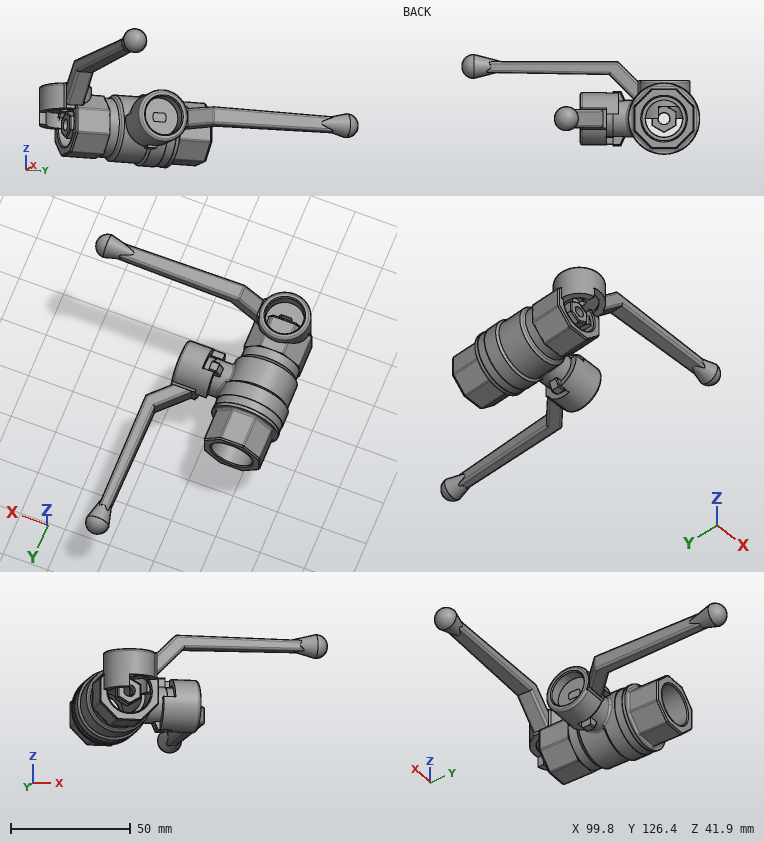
import cadquery as cq
import math


HALF_LENGTH = 30.6
PIPE_DIAMETER = 25.0
FLANGE_DIAMETER = 30.0
BAND_DIAMETER = 29.5
BARREL_DIAMETER = 28.0
FLANGE_BACK = 15.3
BAND_BACK = 13.8
BAND_FRONT = 10.0
SHOULDER_BACK = 3.4
SHOULDER_FRONT = 2.4
TAPER_BACK = -9.5
TAPER_MIDDLE = -10.5
TAPER_FRONT = -11.3
TAPER_MIDDLE_RADIUS = 13.2
OCTAGON_FRONT = -15.4
EDGE_RADIUS = 1.0
END_CHAMFER = 0.4
END_BEVEL_LENGTH = 0.8
BORE_DIAMETER = 15.5
SOCKET_DIAMETER = 18.6
SOCKET_DEPTH = 12.0
SOCKET_CHAMFER = 0.5
SELECT_MARGIN = 0.4
OCTAGON_SIDES = 8

NECK_DIAMETER = 15.5
NECK_END = 21.4
TAB_HALF_WIDTH = 2.3
TAB_REACH = 11.4
TAB_FOOT = 16.5
TAB_TOP_START = 18.1
TAB_EDGE = 0.5
TAB_EMBED = 1.3

CUP_DIAMETER = 22.0
CUP_HEIGHT = 16.0
CUP_BORE = 16.5
CAVITY_DEPTH = 6.3
WEB_TOP = 11.0
RECESS_CHAMFER = 0.5
NOTCH_HEIGHT = 5.0
NOTCH_STOP_X = TAB_HALF_WIDTH
NOTCH_STOP_Y = 1.9
ARM_ROOT = 9.6
ARM_TIP = 75.9
ARM_OFFSET = 4.5
ARM_TOP = 23.9
ARM_KNEE = 18.5
ARM_TIP_BOTTOM = 19.3
ARM_ROOT_HALF_WIDTH = 3.9
ARM_TIP_HALF_WIDTH = 3.2
ROOT_REACH = 11.0
ROOT_TOP = 15.8
ROOT_HALF_WIDTH = 4.8
KNOB_RADIUS = 5.0
KNOB_X = 79.8
KNOB_Z = 21.9
KNOB_START = 67.0
KNOB_START_RADIUS = 1.8

STEM_HEAD_DIAMETER = 15.0
STEM_DIAMETER = 6.0
STEM_FLATS = 3.8
NUT_SIDES = 6
NUT_FLATS = 10.0
NUT_HEIGHT = 5.0
NUT_HOLE = 4.9
NUT_CHAMFER = 0.5

MOUNTED_CUP_X = 19.1
LOOSE_CUP_Y = -HALF_LENGTH


def octagon(length):
    """Octagonal prism from Y = 0 to its bevelled end at Y = length, with flats facing X and Z."""
    corner_diameter = PIPE_DIAMETER / math.cos(math.pi / OCTAGON_SIDES)
    return (
        cq.Workplane("XZ")
        .transformed(rotate=(0, 0, 180 / OCTAGON_SIDES))
        .polygon(OCTAGON_SIDES, corner_diameter)
        .extrude(-length)
        .edges("|Y")
        .fillet(EDGE_RADIUS)
        .faces(">Y")
        .chamfer(END_BEVEL_LENGTH, END_CHAMFER)
    )


def barrel():
    """Turned middle of the valve, from the back flange to the front octagon."""
    flange = FLANGE_DIAMETER / 2
    band = BAND_DIAMETER / 2
    middle = BARREL_DIAMETER / 2
    pipe = PIPE_DIAMETER / 2
    profile = [
        (0, FLANGE_BACK),
        (flange, FLANGE_BACK),
        (flange, BAND_BACK),
        (band, BAND_BACK),
        (band, BAND_FRONT),
        (flange, BAND_FRONT),
        (flange, SHOULDER_BACK),
        (middle, SHOULDER_FRONT),
        (middle, TAPER_BACK),
        (TAPER_MIDDLE_RADIUS, TAPER_MIDDLE),
        (pipe, TAPER_FRONT),
        (pipe, OCTAGON_FRONT),
        (0, OCTAGON_FRONT),
    ]
    return cq.Workplane("XY").polyline(profile).close().revolve(360, (0, 0, 0), (0, 1, 0))


def stop_tabs():
    """Two opposite tabs on the neck, each with a sloped back face."""
    base = NECK_DIAMETER / 2 - TAB_EMBED
    slope = (TAB_TOP_START - TAB_FOOT) / (TAB_REACH - NECK_DIAMETER / 2)
    tab = (
        cq.Workplane("XZ", origin=(0, TAB_HALF_WIDTH, 0))
        .moveTo(TAB_FOOT - slope * TAB_EMBED, base)
        .lineTo(TAB_TOP_START, TAB_REACH)
        .lineTo(NECK_END, TAB_REACH)
        .lineTo(NECK_END, base)
        .close()
        .extrude(2 * TAB_HALF_WIDTH)
        .faces("<Y or >Y")
        .edges("<X or >Z")
        .chamfer(TAB_EDGE)
    )
    return tab.union(tab.mirror("XY"))


def through_bore():
    return cq.Workplane("XZ").circle(BORE_DIAMETER / 2).extrude(HALF_LENGTH, both=True)


def socket():
    """Wider bore at the back end with a bevelled mouth."""
    radius = SOCKET_DIAMETER / 2
    return (
        cq.Workplane("XY")
        .moveTo(0, HALF_LENGTH)
        .lineTo(radius + SOCKET_CHAMFER, HALF_LENGTH)
        .lineTo(radius, HALF_LENGTH - SOCKET_CHAMFER)
        .lineTo(radius, HALF_LENGTH - SOCKET_DEPTH)
        .lineTo(0, HALF_LENGTH - SOCKET_DEPTH)
        .close()
        .revolve(360, (0, 0, 0), (0, 1, 0))
    )


def make_valve():
    neck = cq.Workplane("YZ").circle(NECK_DIAMETER / 2).extrude(NECK_END)
    neck_reach = NECK_DIAMETER / 2 + SELECT_MARGIN
    neck_foot = cq.selectors.BoxSelector(
        (SELECT_MARGIN, -neck_reach, -neck_reach),
        (FLANGE_DIAMETER / 2 + SELECT_MARGIN, neck_reach, neck_reach),
        boundingbox=True,
    )
    valve = barrel().union(neck).edges(neck_foot).fillet(EDGE_RADIUS)

    octagon_reach = PIPE_DIAMETER / 2 + SELECT_MARGIN
    octagon_foot = cq.selectors.BoxSelector(
        (-octagon_reach, FLANGE_BACK - SELECT_MARGIN, -octagon_reach),
        (octagon_reach, FLANGE_BACK + SELECT_MARGIN, octagon_reach),
        boundingbox=True,
    )
    valve = valve.union(octagon(HALF_LENGTH)).edges(octagon_foot).fillet(EDGE_RADIUS)

    front_octagon = octagon(HALF_LENGTH + OCTAGON_FRONT).mirror("XZ").translate((0, OCTAGON_FRONT, 0))
    valve = valve.union(front_octagon).union(stop_tabs())
    return valve.cut(through_bore()).cut(socket()).cut(socket().mirror("XZ"))


def flatted_shank(start, end):
    """Round bar along Z with two flats facing Y."""
    bar = cq.Workplane("XY", origin=(0, 0, start)).circle(STEM_DIAMETER / 2).extrude(end - start)
    slab = cq.Workplane("XY").box(2 * STEM_DIAMETER, STEM_FLATS, 2 * CUP_HEIGHT)
    return bar.intersect(slab)


def cup():
    blank = (
        cq.Workplane("XY").circle(CUP_DIAMETER / 2).extrude(CUP_HEIGHT)
        .faces(">Z").edges().fillet(EDGE_RADIUS)
    )
    cavity = cq.Workplane("XY").circle(CUP_BORE / 2).extrude(CAVITY_DEPTH)
    recess = cq.Workplane("XY", origin=(0, 0, WEB_TOP)).circle(CUP_BORE / 2).extrude(CUP_HEIGHT - WEB_TOP)
    rim = (
        cq.Workplane("XY", origin=(0, 0, CUP_HEIGHT)).circle(CUP_BORE / 2 + RECESS_CHAMFER)
        .workplane(offset=-RECESS_CHAMFER).circle(CUP_BORE / 2).loft()
    )
    block = cq.Workplane("XY").box(CUP_DIAMETER, CUP_DIAMETER, NOTCH_HEIGHT, centered=(False, False, False))
    near_notch = block.translate((-NOTCH_STOP_X, NOTCH_STOP_Y - CUP_DIAMETER, 0))
    far_notch = block.translate((NOTCH_STOP_X - CUP_DIAMETER, NOTCH_STOP_Y, 0))
    shell = blank.cut(cavity).cut(recess).cut(rim).cut(flatted_shank(0, CUP_HEIGHT))
    return shell.cut(near_notch).cut(far_notch)


def arm():
    """Cranked bar that narrows toward its tip, with rounded long edges."""
    top_knee = cq.selectors.NearestToPointSelector((ARM_TOP - ARM_OFFSET, 0, ARM_TOP))
    side = (
        cq.Workplane("XZ", origin=(0, ARM_ROOT_HALF_WIDTH, 0))
        .moveTo(ARM_ROOT, ARM_ROOT - ARM_OFFSET)
        .lineTo(ARM_KNEE + ARM_OFFSET, ARM_KNEE)
        .lineTo(ARM_TIP, ARM_TIP_BOTTOM)
        .lineTo(ARM_TIP, ARM_TOP)
        .lineTo(ARM_TOP - ARM_OFFSET, ARM_TOP)
        .lineTo(ARM_ROOT, ARM_ROOT + ARM_OFFSET)
        .close()
        .extrude(2 * ARM_ROOT_HALF_WIDTH)
        .edges(top_knee)
        .fillet(EDGE_RADIUS)
    )
    plan = (
        cq.Workplane("XY")
        .moveTo(ARM_ROOT, -ARM_ROOT_HALF_WIDTH)
        .lineTo(ARM_TIP, -ARM_TIP_HALF_WIDTH)
        .lineTo(ARM_TIP, ARM_TIP_HALF_WIDTH)
        .lineTo(ARM_ROOT, ARM_ROOT_HALF_WIDTH)
        .close()
        .extrude(2 * ARM_TOP)
    )
    return side.intersect(plan).edges("not(|Y or |Z)").fillet(EDGE_RADIUS)


def arm_root():
    """Block between the cup wall and the arm, flaring toward the cup."""
    return (
        cq.Workplane("XY", origin=(0, 0, NOTCH_HEIGHT))
        .moveTo(ARM_ROOT, -ROOT_HALF_WIDTH)
        .lineTo(ROOT_REACH, -ARM_ROOT_HALF_WIDTH)
        .lineTo(ROOT_REACH, ARM_ROOT_HALF_WIDTH)
        .lineTo(ARM_ROOT, ROOT_HALF_WIDTH)
        .close()
        .extrude(ROOT_TOP - NOTCH_HEIGHT)
    )


def knob():
    """Cone running out of the arm tip into a half ball."""
    return (
        cq.Workplane("XZ")
        .moveTo(KNOB_START, KNOB_Z)
        .lineTo(KNOB_START, KNOB_Z + KNOB_START_RADIUS)
        .lineTo(KNOB_X, KNOB_Z + KNOB_RADIUS)
        .radiusArc((KNOB_X + KNOB_RADIUS, KNOB_Z), KNOB_RADIUS)
        .close()
        .revolve(360, (KNOB_START, KNOB_Z, 0), (KNOB_X, KNOB_Z, 0))
    )


def make_lever():
    return cup().union(arm_root()).union(arm()).union(knob())


def mount_on_stem(shape):
    """Turn a part from the cup axis Z to the stem axis X and set it on the neck."""
    return shape.rotate((0, 0, 0), (1, 1, 1), 120).translate((MOUNTED_CUP_X, 0, 0))


def make_stem():
    """Round head on the neck end and a flatted shank through the lever web."""
    head_start = NECK_END - MOUNTED_CUP_X
    head = (
        cq.Workplane("XY", origin=(0, 0, head_start))
        .circle(STEM_HEAD_DIAMETER / 2)
        .extrude(CAVITY_DEPTH - head_start)
    )
    return mount_on_stem(head.union(flatted_shank(CAVITY_DEPTH, WEB_TOP)))


def make_nut():
    """Hexagon nut on the pipe axis, flush with the front end, corners up and down."""
    corner_diameter = NUT_FLATS / math.cos(math.pi / NUT_SIDES)
    return (
        cq.Workplane("XZ", origin=(0, NUT_HEIGHT - HALF_LENGTH, 0))
        .transformed(rotate=(0, 0, 180 / NUT_SIDES))
        .polygon(NUT_SIDES, corner_diameter)
        .extrude(NUT_HEIGHT)
        .faces("<Y")
        .chamfer(NUT_CHAMFER)
        .faces("<Y")
        .workplane()
        .hole(NUT_HOLE)
    )


valve = make_valve()
stem = make_stem()
nut = make_nut()
lever = make_lever()
mounted_lever = mount_on_stem(lever)
loose_lever = lever.translate((0, LOOSE_CUP_Y, 0)).cut(valve)

bodies = [valve, stem, nut, mounted_lever, loose_lever]
result = cq.Compound.makeCompound([body.solids().val() for body in bodies])